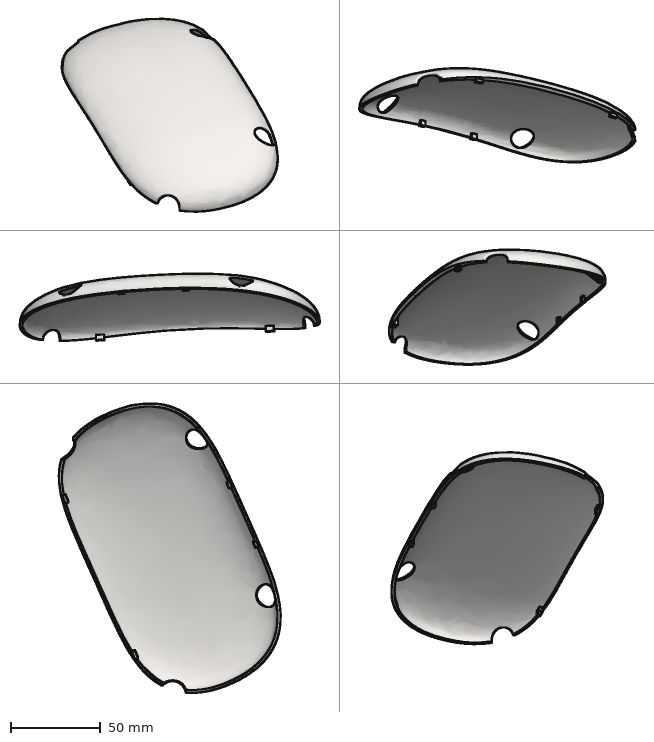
import cadquery as cq
import math

length = 167.57
width = 92.34
height = 22.16
wall = 1.6

outline_power_x = 4.45
outline_power_y = 2.2

crown_y = 8.0
end_fullness, end_shoulder = 2.0, 2.3
back_fullness, back_shoulder = 2.5, 2.3
front_fullness, front_shoulder = 2.0, 1.9

outer_rim_front = 9.9
outer_rim_back = 8.5
inner_rim = 8.2

hole_radius = 6.4
hole_rounding = 0.9
hole_reach = 12.0
back_hole_centre, back_hole_axis = (48.7, 38.6, 13.5), (0.3, 0.6, 0.7)
front_hole_centre, front_hole_axis = (74.7, -30.5, 2.7), (0.6, -0.5, 0.6)

tab_depth = 2.0
tab_height = 3.0
front_tab_length, front_tab_foot = 4.6, (48.2, -42.3, 4.0)
back_tab_length, back_tab_foot = 3.3, (18.3, 44.2, 7.1)

surface_steps = 14
rim_crowding = 0.8
surface_tolerance = 0.02
surface_degree = 3
bisection_steps = 50
longest_stretch = 3.0
centre_radius = 1e-9


def outline_stretch(across, along, half_width):
    """How far a unit direction, scaled by the half sizes, reaches from crown to outline."""
    low, high = 0.0, longest_stretch
    for _ in range(bisection_steps):
        middle = (low + high) / 2
        x_part = abs(middle * across) ** outline_power_x
        y_part = abs(crown_y / half_width + middle * along) ** outline_power_y
        if x_part + y_part < 1:
            low = middle
        else:
            high = middle
    return low


def dome_point(u, v, inset, rim_front, rim_back):
    """Point of a dome for (u, v) in the square -1..1, whose border maps to the rim."""
    half_length = length / 2 - inset
    half_width = width / 2 - inset
    crown_z = height - inset

    disc_x = u * math.sqrt(1 - v * v / 2)
    disc_y = v * math.sqrt(1 - u * u / 2)
    radius = min(math.hypot(disc_x, disc_y), 1.0)
    if radius < centre_radius:
        return cq.Vector(0, crown_y, crown_z)
    across, along = disc_x / radius, disc_y / radius

    stretch = outline_stretch(across, along, half_width)
    rim_x = stretch * across * half_length
    rim_y = crown_y + stretch * along * half_width
    rim_middle = (rim_front + rim_back) / 2 + (rim_back - rim_front) / 2 * along
    rim_z = rim_middle * (1 - (rim_x / half_length) ** 2)

    side_share = along * along
    side_fullness = back_fullness if along > 0 else front_fullness
    side_shoulder = back_shoulder if along > 0 else front_shoulder
    fullness = end_fullness + (side_fullness - end_fullness) * side_share
    shoulder = end_shoulder + (side_shoulder - end_shoulder) * side_share
    rise = 1 - radius ** fullness
    reach = (1 - rise ** shoulder) ** (1 / fullness)
    return cq.Vector(
        reach * rim_x,
        crown_y + reach * (rim_y - crown_y),
        rim_z + (crown_z - rim_z) * rise,
    )


def dome_face(inset, rim_front, rim_back):
    """One smooth face through a grid of dome points."""
    even = [2 * i / surface_steps - 1 for i in range(surface_steps + 1)]
    stations = [w + rim_crowding * (math.sin(w * math.pi / 2) - w) for w in even]
    grid = [[dome_point(u, v, inset, rim_front, rim_back) for v in stations] for u in stations]
    return cq.Face.makeSplineApprox(
        grid, tol=surface_tolerance, minDeg=surface_degree, maxDeg=surface_degree
    )


def nearest_edge(edge, candidates):
    middle = edge.positionAt(0.5)
    return min(candidates, key=lambda other: (other.positionAt(0.5) - middle).Length)


def dome_shell():
    """Outer and inner dome closed by ruled faces along the rim."""
    outer = dome_face(0, outer_rim_front, outer_rim_back)
    inner = dome_face(wall, inner_rim, inner_rim)
    inner_edges = inner.Edges()
    rim = [cq.Face.makeRuledSurface(edge, nearest_edge(edge, inner_edges)) for edge in outer.Edges()]
    return cq.Workplane(cq.Solid.makeSolid(cq.Shell.makeShell([outer, inner] + rim)))


def tab(side, size, foot):
    """Small block whose underside is centred on the foot point."""
    x, y, z = foot
    block = cq.Workplane("XY").box(size, tab_depth, tab_height, centered=(True, True, False))
    return block.translate((side * x, y, z))


def cut_hole(body, side, centre, axis):
    """Cut a round hole and round its mouth on the outer surface."""
    middle = cq.Vector(side * centre[0], centre[1], centre[2])
    outward = cq.Vector(side * axis[0], axis[1], axis[2]).normalized()
    start = middle - outward * hole_reach
    pierced = body.cut(cq.Solid.makeCylinder(hole_radius, 2 * hole_reach, start, outward))

    cylinders = pierced.faces("%CYLINDER").vals()
    hole_wall = min(cylinders, key=lambda face: (face.Center() - middle).Length)
    mouth = max(hole_wall.Edges(), key=lambda edge: edge.Center().dot(outward))
    return pierced.newObject([mouth]).fillet(hole_rounding)


result = dome_shell()
for side in (-1, 1):
    result = result.union(tab(side, front_tab_length, front_tab_foot))
    result = result.union(tab(side, back_tab_length, back_tab_foot))
    result = cut_hole(result, side, back_hole_centre, back_hole_axis)
    result = cut_hole(result, side, front_hole_centre, front_hole_axis)